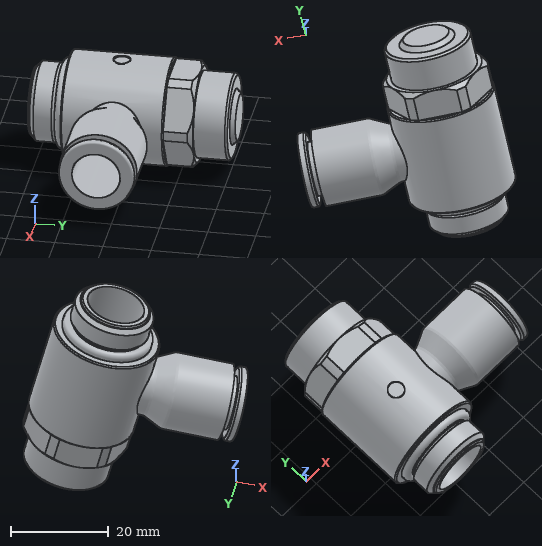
import cadquery as cq


tip_chamfer_end = 0.35
thread_start = 0.45
thread_chamfer_end = 1.35
thread_end = 5.15
neck_end = 5.8
body_start = 7.5
body_end = 28.85
hex_end = 34.8
cap_end = 41.75
knob_end = 42.75

tip_face_radius = 6.95
tip_radius = 7.25
thread_start_radius = 7.4
thread_radius = 8.3
neck_radius = 7.6
seal_radius = 9.5
seal_round = 1.05
body_radius = 11.2
body_chamfer = 0.3
cap_radius = 9.0
cap_chamfer = 0.45
knob_base_radius = 5.8
knob_top_radius = 4.85

hex_flats = 20.0
hex_turn = 30
hex_corner_radius = 11.0
hex_rim_radius = hex_flats / 2
hex_chamfer_length = 0.95

branch_y = 18.4
cone_start = 11.7
cone_end = 15.75
sleeve_end = 27.65
collar_start = 28.85
collar_end = 30.6

branch_neck_radius = 6.05
sleeve_radius = 8.0
cone_blend = 1.3
groove_radius = 5.65
collar_radius = 7.8
collar_chamfer = 0.43
collar_round = 0.43

inlet_radius = 6.0
passage_radius = 5.0

badge_radius = 1.75
badge_depth = 0.35


def turned(profile):
    """Revolve a (radius, Y) half-section about the body axis."""
    return profile.close().revolve(360, (0, 0, 0), (0, 1, 0))


def disc(radius, start, end):
    """Cylinder on the body axis between two Y stations."""
    return cq.Workplane("XZ", origin=(0, start, 0)).circle(radius).extrude(start - end)


def rod(radius, start, end):
    """Cylinder on the branch axis between two X stations."""
    return cq.Workplane("YZ", origin=(start, branch_y, 0)).circle(radius).extrude(end - start)


def make_thread_end():
    return turned(
        cq.Workplane("XY")
        .moveTo(0, 0)
        .lineTo(tip_face_radius, 0)
        .lineTo(tip_radius, tip_chamfer_end)
        .lineTo(tip_radius, thread_start)
        .lineTo(thread_start_radius, thread_start)
        .lineTo(thread_radius, thread_chamfer_end)
        .lineTo(thread_radius, thread_end)
        .lineTo(neck_radius, neck_end)
        .lineTo(neck_radius, body_start)
        .lineTo(0, body_start)
    )


def make_seal():
    """Round sealing ring carried forward from a plain collar against the body."""
    ring_y = neck_end + seal_round
    ring_radius = seal_radius - seal_round
    ring = (
        cq.Workplane("XY", origin=(ring_radius, ring_y, 0))
        .circle(seal_round)
        .revolve(360, (-ring_radius, 0, 0), (-ring_radius, 1, 0))
    )
    return disc(seal_radius, ring_y, body_start).union(ring)


def make_body():
    return disc(body_radius, body_start, body_end).edges().chamfer(body_chamfer)


def make_hexagon():
    prism = (
        cq.Workplane("XZ", origin=(0, body_end, 0))
        .polygon(6, hex_flats, circumscribed=True)
        .extrude(body_end - hex_end)
        .rotate((0, 0, 0), (0, 1, 0), hex_turn)
    )
    envelope = turned(
        cq.Workplane("XY")
        .moveTo(0, body_end)
        .lineTo(hex_corner_radius, body_end)
        .lineTo(hex_corner_radius, hex_end - hex_chamfer_length)
        .lineTo(hex_rim_radius, hex_end)
        .lineTo(0, hex_end)
    )
    return prism.intersect(envelope)


def make_cap():
    cap = disc(cap_radius, hex_end, cap_end).faces(">Y").edges().chamfer(cap_chamfer)
    knob = turned(
        cq.Workplane("XY")
        .moveTo(0, cap_end)
        .lineTo(knob_base_radius, cap_end)
        .lineTo(knob_top_radius, knob_end)
        .lineTo(0, knob_end)
    )
    return cap.union(knob)


def make_branch():
    sleeve = (
        cq.Workplane("XY", origin=(0, branch_y, 0))
        .lineTo(0, branch_neck_radius)
        .lineTo(cone_start, branch_neck_radius)
        .lineTo(cone_end, sleeve_radius)
        .lineTo(sleeve_end, sleeve_radius)
        .lineTo(sleeve_end, 0)
        .close()
        .revolve(360, (0, 0, 0), (1, 0, 0))
    )
    for cone_rim in (cone_start, cone_end):
        rim_edge = cq.selectors.NearestToPointSelector((cone_rim, branch_y, 0))
        sleeve = sleeve.edges("%CIRCLE").edges(rim_edge).fillet(cone_blend)
    groove = rod(groove_radius, sleeve_end, collar_start)
    collar = rod(collar_radius, collar_start, collar_end)
    collar = collar.faces("<X").edges().chamfer(collar_chamfer)
    collar = collar.faces(">X").edges().fillet(collar_round)
    return sleeve.union(groove).union(collar)


def make_passages():
    """Flat-floored inlet meeting a round-ended passage that runs out through the branch."""
    inlet = disc(inlet_radius, 0, branch_y)
    passage = rod(passage_radius, 0, collar_end)
    round_end = cq.Workplane("XY", origin=(0, branch_y, 0)).sphere(passage_radius)
    return inlet.union(passage).union(round_end)


def make_badge_recess():
    floor_z = body_radius - badge_depth
    recess = cq.Workplane("XY", origin=(0, branch_y, floor_z))
    return recess.circle(badge_radius).extrude(badge_depth)


result = (
    make_body()
    .union(make_thread_end())
    .union(make_seal())
    .union(make_hexagon())
    .union(make_cap())
    .union(make_branch())
    .cut(make_passages())
    .cut(make_badge_recess())
)